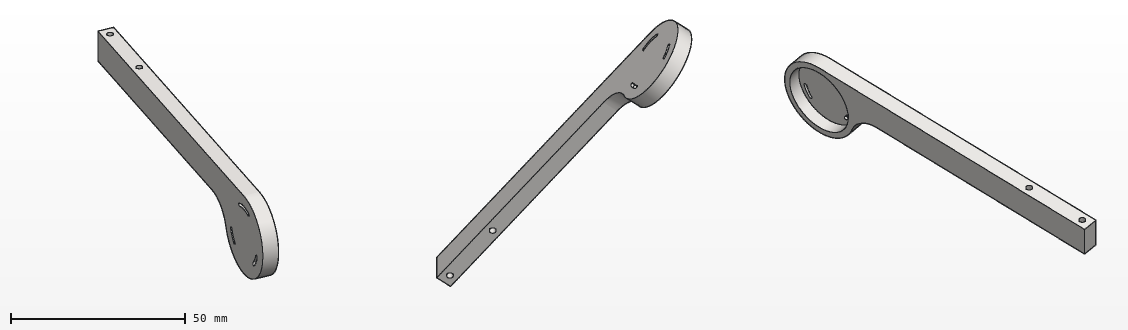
import cadquery as cq
import math

arm_length = 100.0
arm_height = 10.0
thickness = 5.0
disc_radius = 13.0
neck_radius = 10.0

recess_radius = 11.0
recess_floor = 1.0

pin_hole_diameter = 1.93
pin_hole_edge_distance = 3.0
pin_hole_spacing = 20.0

slot_path_radius = 9.0
slot_width = 1.0
long_slot_chord = 6.0
short_slot_chord = 4.0
slots = [(90.0, long_slot_chord), (210.0, short_slot_chord), (330.0, short_slot_chord)]

disc_x = arm_length
disc_z = -disc_radius


def disc_point(radius, angle):
    """Point at a polar position about the disc centre."""
    radians = math.radians(angle)
    return (disc_x + radius * math.cos(radians), disc_z + radius * math.sin(radians))


def extrude_through(outline):
    """Extrude an XZ outline over the part thickness, centred on Y = 0."""
    return outline.extrude(thickness / 2, both=True)


def make_body():
    """Flat arm running into the disc, with the concave neck under it."""
    neck_z = -arm_height - neck_radius
    centre_distance = disc_radius + neck_radius
    neck_x = disc_x - math.sqrt(centre_distance**2 - (neck_z - disc_z) ** 2)

    neck_angle = math.atan2(disc_z - neck_z, disc_x - neck_x)
    middle_angle = (math.pi / 2 + neck_angle) / 2

    def neck_point(angle):
        """Point on the neck arc at an angle in radians about its centre."""
        return (neck_x + neck_radius * math.cos(angle), neck_z + neck_radius * math.sin(angle))

    outline = (
        cq.Workplane("XZ")
        .moveTo(0, 0)
        .lineTo(disc_x, 0)
        .threePointArc(disc_point(disc_radius, 0), neck_point(neck_angle))
        .threePointArc(neck_point(middle_angle), (neck_x, -arm_height))
        .lineTo(0, -arm_height)
        .close()
    )
    return extrude_through(outline)


def make_recess():
    """Round blind recess, concentric with the disc and open on the +Y face."""
    return (
        cq.Workplane("XZ", origin=(disc_x, thickness / 2, disc_z))
        .circle(recess_radius)
        .extrude(thickness - recess_floor)
    )


def make_slot(direction, chord):
    """Curved slot with round ends, concentric with the disc and cut through the recess floor."""
    half_span = math.degrees(math.asin(chord / 2 / slot_path_radius))
    start = direction - half_span
    end = direction + half_span
    inner = slot_path_radius - slot_width / 2
    outer = slot_path_radius + slot_width / 2
    cap_angle = math.degrees(2 * math.asin(slot_width / 4 / slot_path_radius))
    outline = (
        cq.Workplane("XZ")
        .moveTo(*disc_point(inner, start))
        .threePointArc(disc_point(inner, direction), disc_point(inner, end))
        .threePointArc(disc_point(slot_path_radius, end + cap_angle), disc_point(outer, end))
        .threePointArc(disc_point(outer, direction), disc_point(outer, start))
        .threePointArc(disc_point(slot_path_radius, start - cap_angle), disc_point(inner, start))
        .close()
    )
    return extrude_through(outline)


def make_pin_holes():
    """Two holes through the height of the arm near its free end."""
    first_x = pin_hole_edge_distance
    second_x = first_x + pin_hole_spacing
    return (
        cq.Workplane("XY")
        .pushPoints([(first_x, 0), (second_x, 0)])
        .circle(pin_hole_diameter / 2)
        .extrude(-arm_height)
    )


result = make_body().cut(make_recess()).cut(make_pin_holes())
for slot_direction, slot_chord in slots:
    result = result.cut(make_slot(slot_direction, slot_chord))